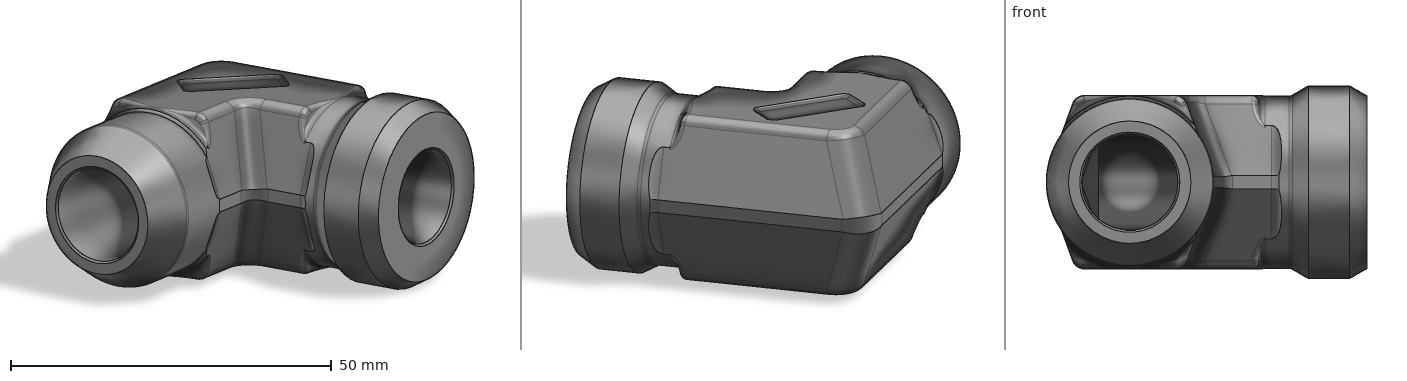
import cadquery as cq
import math

BODY_HALF_WIDTH = 13.0
BODY_HALF_HEIGHT = 13.5
FLAT_HALF_WIDTH = 8.4
SIDE_HALF_HEIGHT = 1.05
SIDE_SLOPE = (BODY_HALF_WIDTH - FLAT_HALF_WIDTH) / (BODY_HALF_HEIGHT - SIDE_HALF_HEIGHT)
OUTER_CORNER_RADIUS = 5.0
INNER_CORNER_RADIUS = 3.0
FLAT_EDGE_RADIUS = 2.0

COLLAR_RADIUS = 26.9 / 2
SHOULDER_REACH = 20.05
SHOULDER_ROOT_RADIUS = 1.0
SHOULDER_EDGE_RADIUS = 1.0
BODY_REACH = SHOULDER_REACH + SHOULDER_ROOT_RADIUS
SIDE_REACH = 22.1
FLARE_RADIUS = 1.8

CONE_SLOPE = math.tan(math.radians(30))
HEAD_RADIUS = 30.0 / 2
LEG_REACH = 52 - HEAD_RADIUS
HEAD_START = 27.8
HEAD_END = 34.25
NECK_FILLET = 1.05
NOSE_RADIUS = 26.0 / 2
NOSE_CONE_START = 31.0
NOSE_EDGE_RADIUS = 0.75

BORE_RADIUS = 15.0 / 2
HEAD_BORE_OVERRUN = 4.9
NOSE_BORE_OVERRUN = 0.0
DRILL_TIP_ANGLE = 140.0
MOUTH_CHAMFER = 0.3

PANEL_LENGTH = 16.85
PANEL_WIDTH = 6.95
PANEL_CORNER_RADIUS = 1.2
PANEL_OFFSET = 2.35
PANEL_TURN = 45.0
PANEL_DEPTH = 0.5
PANEL_DRAFT = 40.0
PANEL_ROOT_RADIUS = 0.75

TOLERANCE = 0.005
OVERCUT = 0.5
TOOL_RADIUS = 20.8


def on_minus_y(solid):
    """Turn a solid built along +X onto the -Y leg."""
    return solid.rotate((0, 0, 0), (0, 0, 1), -90)


def turned(points):
    """Solid of revolution about X from (x, radius) points."""
    return cq.Workplane("XY").polyline(points).close().revolve(360, (0, 0, 0), (1, 0, 0))


def is_mitre(edge, outer):
    centre = edge.Center()
    on_diagonal = abs(centre.x + centre.y) < TOLERANCE
    return on_diagonal and (centre.x < 0) == outer


def is_top_border(edge):
    ends = [edge.startPoint(), edge.endPoint()]
    on_top = all(abs(point.z - BODY_HALF_HEIGHT) < TOLERANCE for point in ends)
    reach = max(edge.Center().x, -edge.Center().y)
    return on_top and reach < BODY_REACH - TOLERANCE


def elbow_bar(half_section):
    """Bar bent through the corner and rounded there.

    The half-section lists (offset, z) points on one side; the other side mirrors it.
    """
    start = (0, -BODY_REACH)
    path = cq.Workplane("XY").polyline([start, (0, 0), (BODY_REACH, 0)])
    other_half = [(-offset, z) for offset, z in reversed(half_section)]
    section = cq.Workplane("XZ", origin=start).polyline(half_section + other_half).close()
    bar = section.sweep(path, transition="right").clean()
    for outer, radius in ((True, OUTER_CORNER_RADIUS), (False, INNER_CORNER_RADIUS)):
        mitres = [edge for edge in bar.edges().vals() if is_mitre(edge, outer)]
        bar = bar.newObject(mitres).fillet(radius)
    return bar


def make_body():
    """Octagonal elbow: what a square bar and two sloping-sided bars share."""
    square = elbow_bar([(BODY_HALF_WIDTH, -BODY_HALF_HEIGHT), (BODY_HALF_WIDTH, BODY_HALF_HEIGHT)])
    base_half_width = FLAT_HALF_WIDTH + SIDE_SLOPE * 2 * BODY_HALF_HEIGHT
    upper = elbow_bar([(base_half_width, -BODY_HALF_HEIGHT), (FLAT_HALF_WIDTH, BODY_HALF_HEIGHT)])
    borders = [edge for edge in upper.edges().vals() if is_top_border(edge)]
    upper = upper.newObject(borders).fillet(FLAT_EDGE_RADIUS)
    return square.intersect(upper).intersect(upper.mirror("XY"))


def shoulder_ring():
    """Ring on the X axis that trims the octagon corners down to the collar."""
    ring = turned([
        (SHOULDER_REACH, TOOL_RADIUS),
        (SHOULDER_REACH, COLLAR_RADIUS),
        (BODY_REACH + OVERCUT, COLLAR_RADIUS),
        (BODY_REACH + OVERCUT, TOOL_RADIUS),
    ])
    return ring.faces("<X").edges(cq.selectors.RadiusNthSelector(0)).fillet(SHOULDER_ROOT_RADIUS)


def is_shoulder_edge(edge):
    centre = edge.Center()
    reach = max(centre.x, -centre.y)
    return edge.geomType() == "LINE" and abs(reach - SHOULDER_REACH) < TOLERANCE


def add_shoulders(body):
    """Trim both leg ends down to the collar and round the edges left standing."""
    trimmed = body.cut(shoulder_ring()).cut(on_minus_y(shoulder_ring()))
    edges = [edge for edge in trimmed.edges().vals() if is_shoulder_edge(edge)]
    return trimmed.newObject(edges).fillet(SHOULDER_EDGE_RADIUS)


def side_cutter(distance, tilt):
    """Block that flattens one side of a spigot root, its far end curving outward.

    The flat lies at the given distance from the X axis, with its normal tilted from +Y toward +Z.
    """
    profile = (
        cq.Workplane("XY")
        .moveTo(BODY_REACH, distance)
        .lineTo(SIDE_REACH, distance)
        .radiusArc((SIDE_REACH + FLARE_RADIUS, distance + FLARE_RADIUS), -FLARE_RADIUS)
        .lineTo(BODY_REACH, distance + FLARE_RADIUS)
        .close()
    )
    return profile.extrude(TOOL_RADIUS, both=True).rotate((0, 0, 0), (1, 0, 0), tilt)


def with_flared_sides(spigot):
    """Flatten the root of a spigot to the body sides, flaring out to its full round."""
    tilt = math.degrees(math.atan(SIDE_SLOPE))
    slope_distance = (BODY_HALF_WIDTH + SIDE_HALF_HEIGHT * SIDE_SLOPE) * math.cos(math.radians(tilt))
    for half_turn in (0, 180):
        spigot = spigot.cut(side_cutter(BODY_HALF_WIDTH, half_turn))
        spigot = spigot.cut(side_cutter(slope_distance, half_turn + tilt))
        spigot = spigot.cut(side_cutter(slope_distance, half_turn - tilt))
    return spigot


def round_edge_at(solid, x, radius):
    """Fillet the circular edge of a turned solid that lies at the given x."""
    low = (x - TOLERANCE, -TOOL_RADIUS, -TOOL_RADIUS)
    high = (x + TOLERANCE, TOOL_RADIUS, TOOL_RADIUS)
    return solid.edges(cq.selectors.BoxSelector(low, high)).fillet(radius)


def make_head():
    """Large head on the +X leg, coned at both ends."""
    neck_end = HEAD_START - (HEAD_RADIUS - COLLAR_RADIUS) / CONE_SLOPE
    end_radius = HEAD_RADIUS - (LEG_REACH - HEAD_END) * CONE_SLOPE
    head = turned([
        (BODY_REACH, 0),
        (BODY_REACH, COLLAR_RADIUS),
        (neck_end, COLLAR_RADIUS),
        (HEAD_START, HEAD_RADIUS),
        (HEAD_END, HEAD_RADIUS),
        (LEG_REACH, end_radius),
        (LEG_REACH, 0),
    ])
    return with_flared_sides(round_edge_at(head, neck_end, NECK_FILLET))


def make_nose():
    """Plain nose with one long cone, built along +X."""
    collar_end = SIDE_REACH - (COLLAR_RADIUS - NOSE_RADIUS)
    tip_radius = NOSE_RADIUS - (LEG_REACH - NOSE_CONE_START) * CONE_SLOPE
    nose = turned([
        (BODY_REACH, 0),
        (BODY_REACH, COLLAR_RADIUS),
        (collar_end, COLLAR_RADIUS),
        (SIDE_REACH, NOSE_RADIUS),
        (NOSE_CONE_START, NOSE_RADIUS),
        (LEG_REACH, tip_radius),
        (LEG_REACH, 0),
    ])
    return with_flared_sides(round_edge_at(nose, NOSE_CONE_START, NOSE_EDGE_RADIUS))


def bore(overrun):
    """Drilled hole along X from the end of the leg to past the axis crossing."""
    tip_length = BORE_RADIUS / math.tan(math.radians(DRILL_TIP_ANGLE / 2))
    return turned([
        (-overrun - tip_length, 0),
        (-overrun, BORE_RADIUS),
        (LEG_REACH - MOUTH_CHAMFER, BORE_RADIUS),
        (LEG_REACH, BORE_RADIUS + MOUTH_CHAMFER),
        (LEG_REACH, 0),
    ])


def label_panel():
    """Pocket with drafted walls and a rounded floor edge."""
    centre = cq.Workplane("XY", origin=(PANEL_OFFSET, -PANEL_OFFSET, BODY_HALF_HEIGHT))
    outline = cq.Sketch().rect(PANEL_LENGTH, PANEL_WIDTH).vertices().fillet(PANEL_CORNER_RADIUS)
    turned_plane = centre.transformed(rotate=(0, 0, PANEL_TURN))
    panel = turned_plane.placeSketch(outline).extrude(-PANEL_DEPTH, taper=PANEL_DRAFT)
    return panel.faces("<Z").edges().fillet(PANEL_ROOT_RADIUS)


body = add_shoulders(make_body())
elbow = body.union(make_head()).union(on_minus_y(make_nose()))
bored = elbow.cut(bore(HEAD_BORE_OVERRUN)).cut(on_minus_y(bore(NOSE_BORE_OVERRUN)))
result = bored.cut(label_panel())